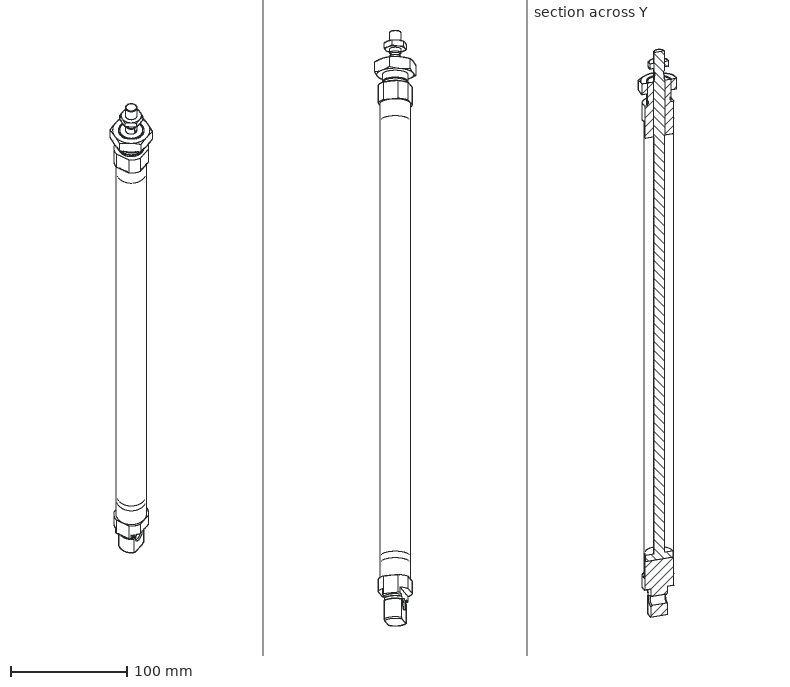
import cadquery as cq
import math

TOTAL_HEIGHT = 541.5
REAR_SIDE_CUT_TOP_Z = 27.0
REAR_CAP_BOTTOM_Z = 22.0
REAR_CAP_TOP_Z = 38.5
BORE_BOTTOM_Z = 54.5
BORE_TOP_Z = 460.5
FRONT_CAP_BOTTOM_Z = 475.5
FRONT_CAP_TOP_Z = 491.5
NECK_NUT_BOTTOM_Z = 502.5
NECK_TOP_Z = 513.5
ROD_FLATS_BOTTOM_Z = 515.0
ROD_FLATS_TOP_Z = 519.5
ROD_THREAD_BOTTOM_Z = 521.5
ROD_NUT_BOTTOM_Z = 526.0

TUBE_DIAMETER = 26.5
BORE_DIAMETER = 25.0
CAP_STEP = 1.8
CAP_DIAMETER = TUBE_DIAMETER + 2 * CAP_STEP
CAP_ACROSS_FLATS = 27.0
RELIEF_DIAMETER = 20.5
RELIEF_DEPTH = 0.7
THREAD_DIAMETER = RELIEF_DIAMETER + 2 * RELIEF_DEPTH
RELIEF_SHOULDER = 1.5
RELIEF_LENGTH = 2.0
THREAD_END_CHAMFER = 1.0
TONGUE_THICKNESS = 15.5
PIN_HOLE_DIAMETER = 8.0
PIN_HOLE_Z = 15.5
PIN_HOLE_CHAMFER = 1.0

ROD_RELIEF_DIAMETER = 8.0
ROD_RELIEF_DEPTH = 0.9
ROD_DIAMETER = ROD_RELIEF_DIAMETER + 2 * ROD_RELIEF_DEPTH
ROD_TIP_CHAMFER = 0.5
ROD_ACROSS_FLATS = 9.0
PISTON_LENGTH = 6.0

NECK_NUT_ACROSS_FLATS = 32.0
NECK_NUT_THICKNESS = NECK_TOP_Z - NECK_NUT_BOTTOM_Z
ROD_NUT_ACROSS_FLATS = 17.5
ROD_NUT_THICKNESS = 5.5
NUT_CHAMFER_ANGLE = 20


def cylinder(diameter, bottom_z, top_z):
    """Upright cylinder on the Z axis."""
    return cq.Workplane("XY", origin=(0, 0, bottom_z)).circle(diameter / 2).extrude(top_z - bottom_z)


def side_block(size, gap, bottom_z, top_z, side):
    """Block as wide and deep as `size`, on the -X or +X side, half of `gap` away from the Z axis."""
    block = cq.Workplane("XY").box(size, size, top_z - bottom_z, centered=(True, True, False))
    return block.translate((side * (gap + size) / 2, 0, bottom_z))


def flatted_cap(bottom_z, top_z):
    """End cap: a disc with four flats, slightly proud of the tube."""
    height = top_z - bottom_z
    square = cq.Workplane("XY", origin=(0, 0, bottom_z)).rect(CAP_ACROSS_FLATS, CAP_ACROSS_FLATS).extrude(height)
    return cylinder(CAP_DIAMETER, bottom_z, top_z).intersect(square)


def threaded_end(length):
    """Thread standing on Z = 0: a shoulder, a relief groove, then the thread, chamfered at both ends."""
    thread_radius = THREAD_DIAMETER / 2
    relief_radius = RELIEF_DIAMETER / 2
    groove_top = RELIEF_SHOULDER + RELIEF_LENGTH
    profile = (
        cq.Workplane("XZ")
        .lineTo(thread_radius, 0)
        .lineTo(thread_radius, RELIEF_SHOULDER)
        .lineTo(relief_radius, RELIEF_SHOULDER)
        .lineTo(relief_radius, groove_top)
        .lineTo(thread_radius, groove_top + RELIEF_DEPTH)
        .lineTo(thread_radius, length - THREAD_END_CHAMFER)
        .lineTo(thread_radius - THREAD_END_CHAMFER, length)
        .lineTo(0, length)
        .close()
    )
    return profile.revolve(360, (0, 0, 0), (0, 1, 0))


def make_housing():
    """Tube with its two end caps, the front neck and the rear tongue."""
    tube = cylinder(TUBE_DIAMETER, REAR_CAP_TOP_Z, FRONT_CAP_BOTTOM_Z)
    front_cap = flatted_cap(FRONT_CAP_BOTTOM_Z, FRONT_CAP_TOP_Z)
    rear_cap = flatted_cap(REAR_CAP_BOTTOM_Z, REAR_CAP_TOP_Z)
    neck = threaded_end(NECK_TOP_Z - FRONT_CAP_TOP_Z).translate((0, 0, FRONT_CAP_TOP_Z))
    rear_thread = (
        threaded_end(REAR_CAP_BOTTOM_Z)
        .rotate((0, 0, 0), (1, 0, 0), 180)
        .translate((0, 0, REAR_CAP_BOTTOM_Z))
    )
    body = tube.union(front_cap).union(rear_cap).union(neck).union(rear_thread)

    for side in (-1, 1):
        side_cut = side_block(CAP_DIAMETER, TONGUE_THICKNESS, 0, REAR_SIDE_CUT_TOP_Z, side)
        body = body.cut(side_cut)

    half_thickness = TONGUE_THICKNESS / 2
    hole_radius = PIN_HOLE_DIAMETER / 2
    mouth_radius = hole_radius + PIN_HOLE_CHAMFER
    hole_profile = (
        cq.Workplane("XY")
        .moveTo(-half_thickness, 0)
        .lineTo(-half_thickness, mouth_radius)
        .lineTo(-half_thickness + PIN_HOLE_CHAMFER, hole_radius)
        .lineTo(half_thickness - PIN_HOLE_CHAMFER, hole_radius)
        .lineTo(half_thickness, mouth_radius)
        .lineTo(half_thickness, 0)
        .close()
    )
    pin_hole = hole_profile.revolve(360, (0, 0, 0), (1, 0, 0)).translate((0, 0, PIN_HOLE_Z))

    bore = cylinder(BORE_DIAMETER, BORE_BOTTOM_Z, BORE_TOP_Z)
    rod_hole = cylinder(ROD_DIAMETER, BORE_TOP_Z, NECK_TOP_Z)
    return body.cut(pin_hole).cut(bore).cut(rod_hole)


def make_rod():
    """Piston rod with its piston, wrench flats, thread relief and threaded tip."""
    piston = cylinder(BORE_DIAMETER, BORE_BOTTOM_Z, BORE_BOTTOM_Z + PISTON_LENGTH)
    shaft = cylinder(ROD_DIAMETER, BORE_BOTTOM_Z, ROD_FLATS_TOP_Z)
    for side in (-1, 1):
        flat_cut = side_block(ROD_DIAMETER, ROD_ACROSS_FLATS, ROD_FLATS_BOTTOM_Z, ROD_FLATS_TOP_Z, side)
        shaft = shaft.cut(flat_cut)
    relief = cylinder(ROD_RELIEF_DIAMETER, ROD_FLATS_TOP_Z, ROD_THREAD_BOTTOM_Z)
    tip = cylinder(ROD_DIAMETER, ROD_THREAD_BOTTOM_Z, TOTAL_HEIGHT)
    tip = tip.faces("<Z").chamfer(ROD_RELIEF_DEPTH).faces(">Z").chamfer(ROD_TIP_CHAMFER)
    return piston.union(shaft).union(relief).union(tip)


def make_hex_nut(across_flats, bottom_z, thickness, hole_diameter):
    """Hexagon nut with two flats facing along X and its corners chamfered on both faces."""
    across_corners = across_flats / math.cos(math.radians(30))
    hexagon = cq.Workplane("XY").polygon(6, across_corners).extrude(thickness)
    hexagon = hexagon.rotate((0, 0, 0), (0, 0, 1), 30)

    chamfer_width = (across_corners - across_flats) / 2
    chamfer_height = chamfer_width * math.tan(math.radians(NUT_CHAMFER_ANGLE))
    flat_radius = across_flats / 2
    corner_radius = across_corners / 2
    trim_profile = (
        cq.Workplane("XZ")
        .lineTo(flat_radius, 0)
        .lineTo(corner_radius, chamfer_height)
        .lineTo(corner_radius, thickness - chamfer_height)
        .lineTo(flat_radius, thickness)
        .lineTo(0, thickness)
        .close()
    )
    trim = trim_profile.revolve(360, (0, 0, 0), (0, 1, 0))
    hole = cylinder(hole_diameter, 0, thickness)
    return hexagon.intersect(trim).cut(hole).translate((0, 0, bottom_z))


housing = make_housing()
rod = make_rod()
neck_nut = make_hex_nut(NECK_NUT_ACROSS_FLATS, NECK_NUT_BOTTOM_Z, NECK_NUT_THICKNESS, THREAD_DIAMETER)
rod_nut = make_hex_nut(ROD_NUT_ACROSS_FLATS, ROD_NUT_BOTTOM_Z, ROD_NUT_THICKNESS, ROD_DIAMETER)

result = cq.Compound.makeCompound([housing.val(), rod.val(), neck_nut.val(), rod_nut.val()])